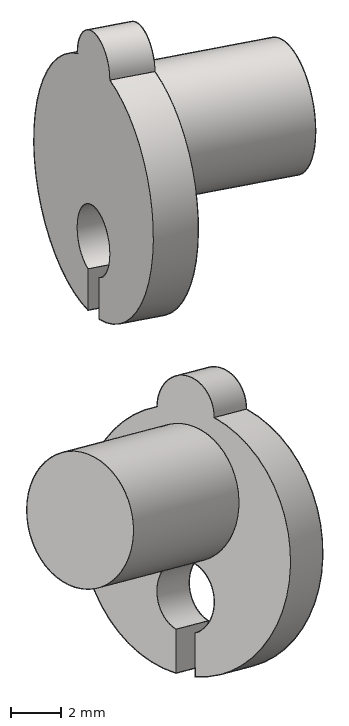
import cadquery as cq
import math

flange_radius = 5.5
flange_thickness = 2.0

lug_radius = 1.5
lug_height = math.sqrt(flange_radius**2 - lug_radius**2)

keyhole_radius = 1.5
keyhole_depth_below_axis = 2.26
slot_width = 1.0

shaft_diameter = 5.6
shaft_length = 6.5
shaft_height = 2.0


def cylinder_along_y(radius, center_z, start_y, length):
    """Solid cylinder with its axis along +Y, starting at start_y."""
    base = cq.Workplane("XZ", origin=(0, start_y, center_z))
    return base.circle(radius).extrude(-length)


def make_flange():
    disc = cylinder_along_y(flange_radius, 0, 0, flange_thickness)
    lug = cylinder_along_y(lug_radius, lug_height, 0, flange_thickness)
    return disc.union(lug)


def make_keyhole():
    hole = cylinder_along_y(keyhole_radius, -keyhole_depth_below_axis, 0, flange_thickness)
    slot_length = flange_radius - keyhole_depth_below_axis
    slot = cq.Workplane("XY").box(
        slot_width, flange_thickness, slot_length, centered=(True, False, False)
    )
    return hole.union(slot.translate((0, 0, -flange_radius)))


def make_shaft():
    return cylinder_along_y(shaft_diameter / 2, shaft_height, flange_thickness, shaft_length)


result = make_flange().cut(make_keyhole()).union(make_shaft())